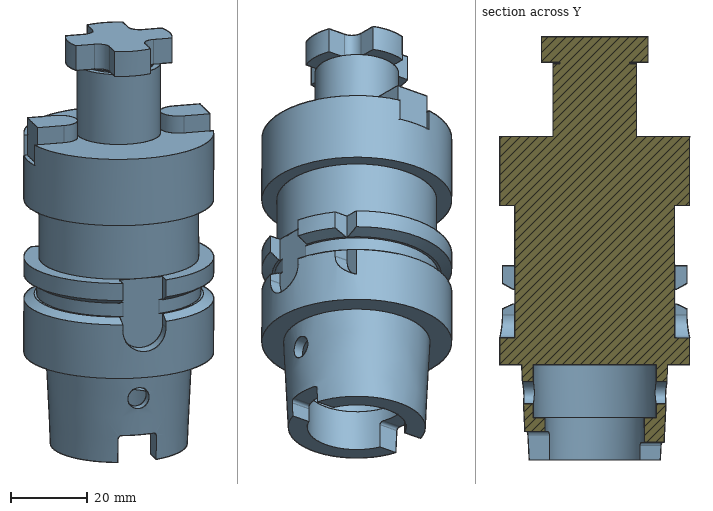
import cadquery as cq

HEIGHT = 111.4
SLOT_DEPTH_LEFT = 4.7
SLOT_DEPTH_RIGHT = 7.5
BORE_STEP = 11.1
CROSS_HOLE_Z = 17.7
FLANGE_BOTTOM = 25.1
GROOVE_BEVEL_BOTTOM = 39.8
GROOVE_BOTTOM = 41.1
GROOVE_TOP = 44.9
GROOVE_BEVEL_TOP = 46.5
FLANGE_TOP = 51.1
COLLAR_BOTTOM = 66.9
COLLAR_TOP = 85.1
ARBOR_TOP = 104.3
HEAD_BOTTOM = 104.6

FLANGE_DIAMETER = 50.0
FLANGE_RADIUS = FLANGE_DIAMETER / 2
COLLAR_RADIUS = FLANGE_RADIUS
SHANK_END_RADIUS = 18.0
SHANK_TOP_RADIUS = 19.3
BORE_MOUTH_RADIUS = 13.0
BORE_RADIUS = 16.2
GROOVE_RADIUS = 21.6
BEVEL_RADIUS = 22.3
BODY_RADIUS = 21.0
ARBOR_RADIUS = 11.0
NECK_RADIUS = 9.2
HEAD_RADIUS = 14.0

END_SLOT_WIDTH = 10.5
END_SLOT_FILLET = 0.9
CROSS_HOLE_RADIUS = 2.9

FLANGE_SLOT_RADIUS = 5.9
FLANGE_SLOT_BOTTOM = 32.2
FLANGE_SLOT_FLOOR = BODY_RADIUS
NOTCH_CORNER = 15.6

KEY_WIDTH = 9.8
KEY_BOTTOM = 79.5
KEY_TOP = 89.8
KEY_INNER_Y = 11.5
KEY_OUTER_Y = 23.6

ARM_WIDTH = 9.8
ARM_FILLET = 3.1


def box(x_min, x_max, y_min, y_max, z_min, z_max):
    size = (x_max - x_min, y_max - y_min, z_max - z_min)
    return cq.Workplane("XY").box(*size, centered=False).translate((x_min, y_min, z_min))


def turned_body():
    outline = [
        (0, 0),
        (SHANK_END_RADIUS, 0),
        (SHANK_TOP_RADIUS, FLANGE_BOTTOM),
        (FLANGE_RADIUS, FLANGE_BOTTOM),
        (FLANGE_RADIUS, GROOVE_BEVEL_BOTTOM),
        (BEVEL_RADIUS, GROOVE_BOTTOM),
        (GROOVE_RADIUS, GROOVE_BOTTOM),
        (GROOVE_RADIUS, GROOVE_TOP),
        (BEVEL_RADIUS, GROOVE_TOP),
        (FLANGE_RADIUS, GROOVE_BEVEL_TOP),
        (FLANGE_RADIUS, FLANGE_TOP),
        (BODY_RADIUS, FLANGE_TOP),
        (BODY_RADIUS, COLLAR_BOTTOM),
        (COLLAR_RADIUS, COLLAR_BOTTOM),
        (COLLAR_RADIUS, COLLAR_TOP),
        (ARBOR_RADIUS, COLLAR_TOP),
        (ARBOR_RADIUS, ARBOR_TOP),
        (NECK_RADIUS, ARBOR_TOP),
        (NECK_RADIUS, HEAD_BOTTOM),
        (0, HEAD_BOTTOM),
    ]
    return cq.Workplane("XZ").polyline(outline).close().revolve(360, (0, 0), (0, 1))


def shank_bore():
    """Blind bore, wider behind its mouth, as deep as the shank is long."""
    mouth = cq.Workplane("XY").circle(BORE_MOUTH_RADIUS).extrude(BORE_STEP)
    chamber = (
        cq.Workplane("XY", origin=(0, 0, BORE_STEP))
        .circle(BORE_RADIUS)
        .extrude(FLANGE_BOTTOM - BORE_STEP)
    )
    return mouth.union(chamber)


def end_slot(x_min, x_max, depth):
    """Slot across one half of the shank end, rounded along its roof edges."""
    half = END_SLOT_WIDTH / 2
    return box(x_min, x_max, -half, half, 0, depth).edges("|X and >Z").fillet(END_SLOT_FILLET)


def flange_cutter(x_min, x_max, y_center):
    """Cutter along X with a half-round bottom, open through the flange top."""
    z_center = FLANGE_SLOT_BOTTOM + FLANGE_SLOT_RADIUS
    y_min = y_center - FLANGE_SLOT_RADIUS
    y_max = y_center + FLANGE_SLOT_RADIUS
    round_end = (
        cq.Workplane("YZ", origin=(x_min, y_center, z_center))
        .circle(FLANGE_SLOT_RADIUS)
        .extrude(x_max - x_min)
    )
    return round_end.union(box(x_min, x_max, y_min, y_max, z_center, FLANGE_TOP))


def drive_key(side):
    """Key partly sunk in the collar, with a full-round inner end."""
    half = KEY_WIDTH / 2
    round_y = KEY_INNER_Y + half
    return (
        cq.Workplane("XY", origin=(0, 0, KEY_BOTTOM))
        .moveTo(half, side * KEY_OUTER_Y)
        .lineTo(half, side * round_y)
        .threePointArc((0, side * KEY_INNER_Y), (-half, side * round_y))
        .lineTo(-half, side * KEY_OUTER_Y)
        .close()
        .extrude(KEY_TOP - KEY_BOTTOM)
    )


def key_seat(side):
    """Opening in the collar rim in front of a drive key."""
    y_min, y_max = sorted((side * KEY_OUTER_Y, side * COLLAR_RADIUS))
    return box(-KEY_WIDTH / 2, KEY_WIDTH / 2, y_min, y_max, KEY_BOTTOM, COLLAR_TOP)


def cross_head():
    half = ARM_WIDTH / 2
    arm_x = box(-HEAD_RADIUS, HEAD_RADIUS, -half, half, HEAD_BOTTOM, HEIGHT)
    arm_y = box(-half, half, -HEAD_RADIUS, HEAD_RADIUS, HEAD_BOTTOM, HEIGHT)
    inner_corners = cq.selectors.BoxSelector(
        (-ARM_WIDTH, -ARM_WIDTH, HEAD_BOTTOM), (ARM_WIDTH, ARM_WIDTH, HEIGHT)
    )
    cross = arm_x.union(arm_y).edges("|Z").edges(inner_corners).fillet(ARM_FILLET)
    disc = (
        cq.Workplane("XY", origin=(0, 0, HEAD_BOTTOM))
        .circle(HEAD_RADIUS)
        .extrude(HEIGHT - HEAD_BOTTOM)
    )
    return cross.intersect(disc)


result = turned_body()

result = result.cut(shank_bore())
result = result.cut(end_slot(-FLANGE_RADIUS, 0, SLOT_DEPTH_LEFT))
result = result.cut(end_slot(0, FLANGE_RADIUS, SLOT_DEPTH_RIGHT))
cross_hole = (
    cq.Workplane("YZ", origin=(0, 0, CROSS_HOLE_Z))
    .circle(CROSS_HOLE_RADIUS)
    .extrude(FLANGE_RADIUS, both=True)
)
result = result.cut(cross_hole)

result = result.cut(flange_cutter(-FLANGE_RADIUS, -FLANGE_SLOT_FLOOR, 0))
result = result.cut(flange_cutter(FLANGE_SLOT_FLOOR, FLANGE_RADIUS, 0))
notch_y = -NOTCH_CORNER - FLANGE_SLOT_RADIUS
result = result.cut(flange_cutter(-FLANGE_RADIUS, -NOTCH_CORNER, notch_y))

for side in (-1, 1):
    result = result.cut(key_seat(side)).union(drive_key(side))

result = result.union(cross_head()).clean()